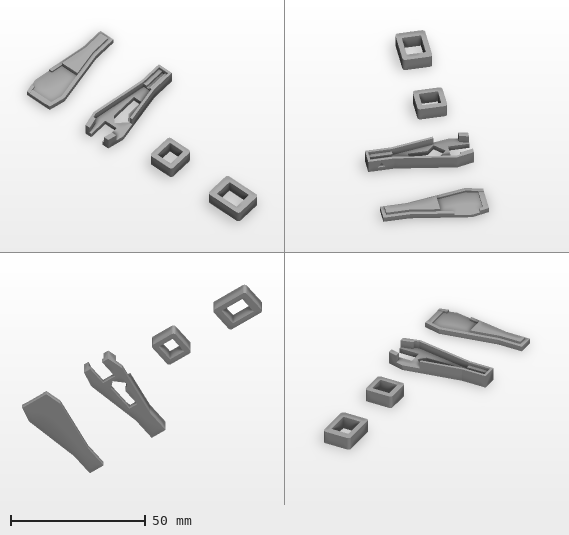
import cadquery as cq
import math

LENGTH = 39.6
NECK_WIDTH = 6.4
SHOULDER_WIDTH = 14.3
TIP_WIDTH = 11.1
NECK_LENGTH = 10.0
SHOULDER_Y = 6.7
NECK_Y = LENGTH - NECK_LENGTH

TOTAL_HEIGHT = 5.0
FLOOR_HEIGHT = 2.0

GAP_TOP_Y = 13.3
GAP_BOTTOM_Y = 3.6

COVER_RIM = 1.4
COVER_POCKET_Z = 1.2
COVER_POCKET_BOTTOM_Y = 2.1
TONGUE_TOP_Z = 3.0
TONGUE_BOTTOM_Y = 18.1
FRONT_STRIP_DROP = 0.2

LOCK_WALL = 1.0
JAW_WALL = 2.0
LEFT_JAW_TOP_Y = 4.8
MOUTH_WIDTH = 5.4
MOUTH_DEPTH = 8.2
WINDOW_WIDTH = 3.6
WINDOW_TOP_Y = 23.6
WINDOW_ELBOW_Y = 16.0
WINDOW_ELBOW_REACH = 2.7
WINDOW_POINT_X = 0.7
BLOCK_TOP_Z = 3.8
GROOVE_WIDTH = 1.4
GROOVE_FLOOR_Z = 2.7
RECESS_RADIUS = 1.5
RECESS_DEPTH = 0.8
RECESS_CORNER_ANGLES = (90, 210, 330)
RECESS_CENTER_Z = 2.4
RECESS_FROM_TOP = 5.0

FRAME_DEPTH = 11.3
FRAME_CENTER_Y = 10.1
FRAME_OPENING_DEPTH = 7.3
FRAME_CORNER_RADIUS = 1.1
SMALL_FRAME_WIDTH = 10.7
SMALL_FRAME_OPENING = 6.5
LARGE_FRAME_WIDTH = 15.1
LARGE_FRAME_OPENING = 9.5

LOCK_X = 28.4
SMALL_FRAME_X = 55.7
OVERALL_WIDTH = 100.8
LARGE_FRAME_X = OVERALL_WIDTH - SHOULDER_WIDTH / 2 - LARGE_FRAME_WIDTH / 2


def box(x_min, x_max, y_min, y_max, z_min, z_max):
    """Axis-aligned block between two corners."""
    size = (x_max - x_min, y_max - y_min, z_max - z_min)
    return cq.Workplane("XY").box(*size, centered=False).translate((x_min, y_min, z_min))


def paddle(inset, z_min, z_max):
    """Paddle-shaped slab whose outline is moved inward by inset."""
    right_side = [
        (TIP_WIDTH / 2, 0),
        (SHOULDER_WIDTH / 2, SHOULDER_Y),
        (NECK_WIDTH / 2, NECK_Y),
        (NECK_WIDTH / 2, LENGTH),
    ]
    left_side = [(-x, y) for x, y in reversed(right_side)]
    outline = cq.Workplane("XY").workplane(offset=z_min).polyline(right_side + left_side).close()
    if inset > 0:
        outline = outline.offset2D(-inset, "intersection")
    return outline.extrude(z_max - z_min)


def across(y_min, y_max, z_min, z_max):
    """Block across the whole paddle width, used to keep or remove a stretch of its length."""
    return box(-SHOULDER_WIDTH, SHOULDER_WIDTH, y_min, y_max, z_min, z_max)


def tip_core(inset, z_min, z_max):
    """Tapered tip core, inset from the sides only and open at the wide end."""
    slope = (SHOULDER_WIDTH - TIP_WIDTH) / 2 / SHOULDER_Y
    side_inset = inset * math.hypot(1, slope)
    bottom = TIP_WIDTH / 2 - side_inset
    top = SHOULDER_WIDTH / 2 - side_inset
    corners = [(-bottom, 0), (bottom, 0), (top, SHOULDER_Y), (-top, SHOULDER_Y)]
    return cq.Workplane("XY").workplane(offset=z_min).polyline(corners).close().extrude(z_max - z_min)


def make_cover():
    slab = paddle(0, 0, FLOOR_HEIGHT)

    tongue = paddle(COVER_RIM, 0, TONGUE_TOP_Z).intersect(across(TONGUE_BOTTOM_Y, LENGTH, 0, TONGUE_TOP_Z))

    pocket_depth = (COVER_POCKET_Z, FLOOR_HEIGHT)
    pocket = paddle(COVER_RIM, *pocket_depth).intersect(
        across(COVER_POCKET_BOTTOM_Y, TONGUE_BOTTOM_Y, *pocket_depth)
    )
    side_gap = box(-SHOULDER_WIDTH, 0, GAP_BOTTOM_Y, GAP_TOP_Y, *pocket_depth)

    strip_depth = (FLOOR_HEIGHT - FRONT_STRIP_DROP, FLOOR_HEIGHT)
    strip = tip_core(COVER_RIM, *strip_depth).intersect(across(0, COVER_POCKET_BOTTOM_Y, *strip_depth))

    return slab.cut(pocket).cut(side_gap).cut(strip).union(tongue)


def make_grooved_block():
    """Block filling the neck, with a groove along its length."""
    half_width = NECK_WIDTH / 2 - LOCK_WALL
    top_y = LENGTH - LOCK_WALL
    block = box(-half_width, half_width, NECK_Y, top_y, FLOOR_HEIGHT, BLOCK_TOP_Z)
    groove = box(-GROOVE_WIDTH / 2, GROOVE_WIDTH / 2, NECK_Y, top_y, GROOVE_FLOOR_Z, BLOCK_TOP_Z)
    return block.cut(groove)


def make_window():
    """Straight slot that turns into a 45-degree elbow pointing to the right."""
    half_width = WINDOW_WIDTH / 2
    tip_x = half_width + WINDOW_ELBOW_REACH
    tip_y = WINDOW_ELBOW_Y - WINDOW_ELBOW_REACH
    point_y = tip_y - (tip_x - WINDOW_POINT_X)
    corners = [
        (-half_width, WINDOW_TOP_Y),
        (half_width, WINDOW_TOP_Y),
        (half_width, WINDOW_ELBOW_Y),
        (tip_x, tip_y),
        (WINDOW_POINT_X, point_y),
        (-half_width, point_y + WINDOW_POINT_X + half_width),
    ]
    return cq.Workplane("XY").polyline(corners).close().extrude(FLOOR_HEIGHT)


def make_side_recess():
    """Equilateral triangular recess in the left side of the neck, point up."""
    center_y = LENGTH - RECESS_FROM_TOP
    corners = []
    for angle in RECESS_CORNER_ANGLES:
        turn = math.radians(angle)
        y = center_y + RECESS_RADIUS * math.cos(turn)
        z = RECESS_CENTER_Z + RECESS_RADIUS * math.sin(turn)
        corners.append((y, z))
    outer_face = cq.Workplane("YZ").workplane(offset=-NECK_WIDTH / 2)
    return outer_face.polyline(corners).close().extrude(RECESS_DEPTH)


def make_lock():
    wall_range = (FLOOR_HEIGHT, TOTAL_HEIGHT)
    body = paddle(0, 0, TOTAL_HEIGHT)

    cavity = paddle(LOCK_WALL, *wall_range).intersect(across(LEFT_JAW_TOP_Y, LENGTH, *wall_range))

    jaw_space = tip_core(JAW_WALL, *wall_range)
    side_gap = box(0, SHOULDER_WIDTH, GAP_BOTTOM_Y, GAP_TOP_Y, *wall_range)

    mouth = box(-MOUTH_WIDTH / 2, MOUTH_WIDTH / 2, 0, MOUTH_DEPTH, 0, FLOOR_HEIGHT)

    body = body.cut(cavity).cut(jaw_space).cut(side_gap).cut(mouth).cut(make_window())
    body = body.union(make_grooved_block()).cut(make_side_recess())
    return body.translate((LOCK_X, 0, 0))


def make_frame(center_x, width, opening_width):
    ring = cq.Workplane("XY").rect(width, FRAME_DEPTH).extrude(TOTAL_HEIGHT)
    ring = ring.edges("|Z").fillet(FRAME_CORNER_RADIUS)
    opening = cq.Workplane("XY").rect(opening_width, FRAME_OPENING_DEPTH).extrude(TOTAL_HEIGHT)
    return ring.cut(opening).translate((center_x, FRAME_CENTER_Y, 0))


cover = make_cover()
lock = make_lock()
frames = [
    make_frame(SMALL_FRAME_X, SMALL_FRAME_WIDTH, SMALL_FRAME_OPENING),
    make_frame(LARGE_FRAME_X, LARGE_FRAME_WIDTH, LARGE_FRAME_OPENING),
]

result = cq.Compound.makeCompound([cover.val(), lock.val(), *[frame.val() for frame in frames]])